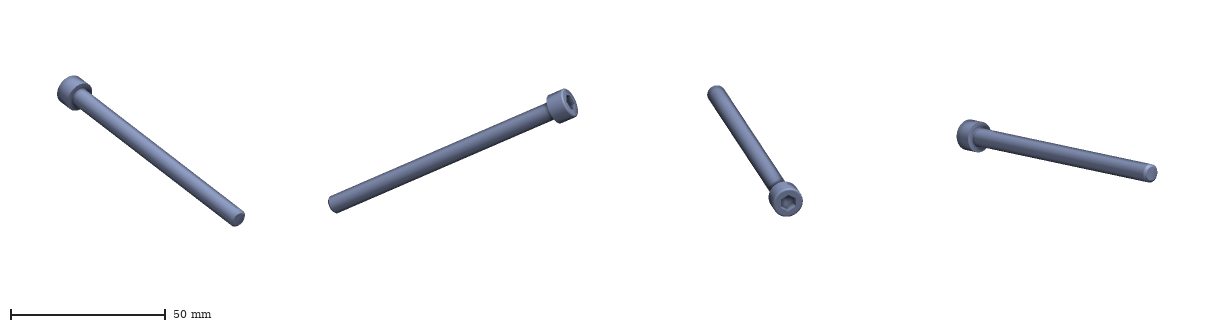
import cadquery as cq
import math

total_length = 91.0
head_diameter = 10.0
head_height = 6.0
shank_diameter = head_height
head_edge_radius = 0.6
neck_fillet = 0.3
tip_chamfer = 0.7
socket_across_flats = 5.0
socket_depth = 3.0
drill_tip_half_angle = 60.0

head_face_x = -total_length / 2
socket_across_corners = socket_across_flats / math.cos(math.radians(30))


def cylinder_along_x(start_x, length, diameter):
    return cq.Workplane("YZ", origin=(start_x, 0, 0)).circle(diameter / 2).extrude(length)


def make_head():
    head = cylinder_along_x(head_face_x, head_height, head_diameter)
    return head.faces("<X").edges().fillet(head_edge_radius)


def make_shank():
    shank_length = total_length - head_height
    shank = cylinder_along_x(head_face_x + head_height, shank_length, shank_diameter)
    return shank.faces(">X").edges().chamfer(tip_chamfer)


def fillet_neck(screw):
    """Round the inside corner where the shank meets the head."""
    neck_edge = cq.selectors.RadiusNthSelector(0)
    return screw.faces(cq.selectors.NearestToPointSelector(
        (head_face_x + head_height, (head_diameter + shank_diameter) / 4, 0)
    )).edges(neck_edge).fillet(neck_fillet)


def make_socket():
    """Hexagonal recess with corners on +Z and -Z, its bottom a cone spanning the corners."""
    cone_radius = socket_across_corners / 2
    cone_height = cone_radius / math.tan(math.radians(drill_tip_half_angle))
    hexagon = (
        cq.Workplane("YZ", origin=(head_face_x, 0, 0))
        .transformed(rotate=(0, 0, 90))
        .polygon(6, socket_across_corners)
        .extrude(socket_depth + cone_height)
    )
    pointed_bore = (
        cq.Workplane("XY", origin=(head_face_x, 0, 0))
        .polyline([
            (0, 0),
            (0, cone_radius),
            (socket_depth, cone_radius),
            (socket_depth + cone_height, 0),
        ])
        .close()
        .revolve(360, (0, 0, 0), (1, 0, 0))
    )
    return hexagon.intersect(pointed_bore)


screw = make_head().union(make_shank())
result = fillet_neck(screw).cut(make_socket())